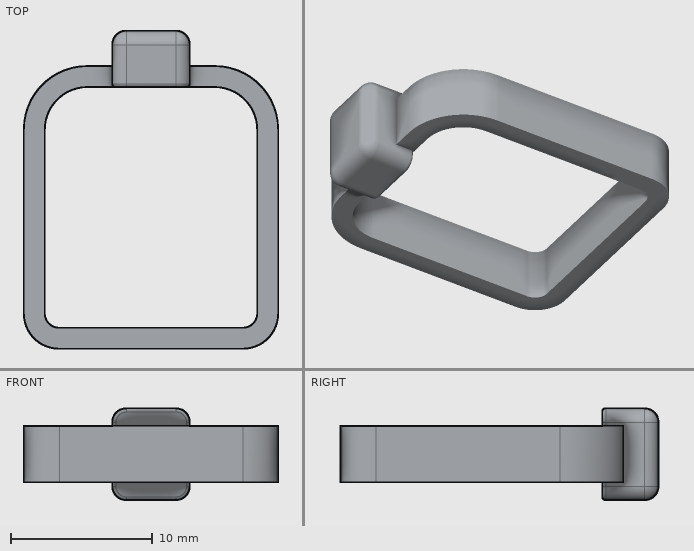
import cadquery as cq

band_width = 18.0
band_length = 20.0
band_height = 4.0
wall = 1.5
front_radius = 2.5
back_radius = 4.5

block_width = 5.5
block_height = 6.5
block_overhang = 2.5
block_depth = block_overhang + wall
block_radius = 1.0
inner_edge_radius = 0.25

back_face = band_length / 2
inner_face = back_face - wall


def rounded_slab(width, length, front_corner, back_corner):
    """Slab of band height, centred on the origin, with its own front (-Y) and back (+Y) corner radii."""
    slab = cq.Workplane("XY").box(width, length, band_height)
    slab = slab.edges("|Z and <Y").fillet(front_corner)
    return slab.edges("|Z and >Y").fillet(back_corner)


def make_band():
    outside = rounded_slab(band_width, band_length, front_radius, back_radius)
    opening = rounded_slab(
        band_width - 2 * wall,
        band_length - 2 * wall,
        front_radius - wall,
        back_radius - wall,
    )
    return outside.cut(opening)


def make_block():
    """Block flush with the inside of the back wall and overhanging its outside."""
    block = cq.Workplane("XY").box(block_width, block_depth, block_height)
    block = block.edges("|Y or >Y").fillet(block_radius)
    block = block.faces("<Y").edges().fillet(inner_edge_radius)
    return block.translate((0, inner_face + block_depth / 2, 0))


result = make_band().union(make_block())